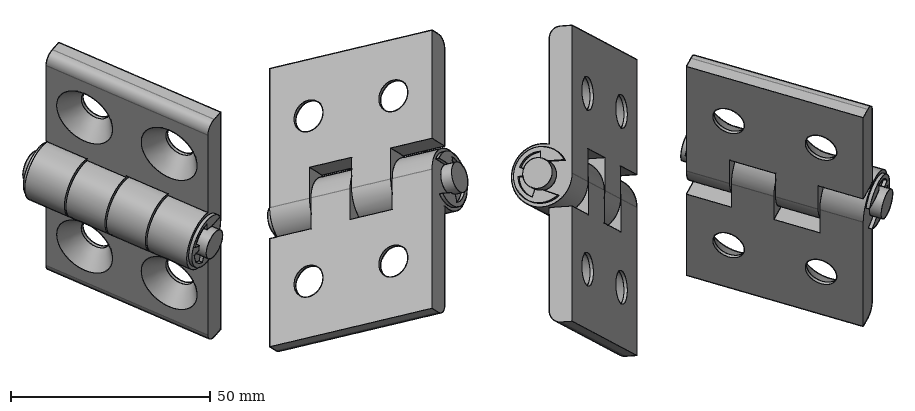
import cadquery as cq
import math

hinge_height = 75.75
leaf_width = 47.9
leaf_thickness = 6.1
edge_radius = 3.0
half_height = hinge_height / 2

knuckle_radius = 8.1
knuckle_count = 4
knuckle_pitch = leaf_width / knuckle_count
side_gap = 0.45
notch_reach = 8.4
back_y = knuckle_radius
front_y = back_y - leaf_thickness

hole_x = 12.5
hole_z = 22.5
hole_radius = 4.25
countersink_radius = 8.25
countersink_depth = 5.2

pin_radius = 3.95
pin_length = 54.2

clip_radius = 7.2
clip_thickness = 1.0
clip_slot_radius = 6.0
clip_turn = 10.8
tongue_half_angle = 11.5
pad_angle = 79.2
mouth_flare = 10.8
mouth_offset = 3.4


def x_cylinder(radius, length, start_x):
    """Cylinder about the pin axis, running in +X from start_x."""
    return cq.Workplane("YZ", origin=(start_x, 0, 0)).circle(radius).extrude(length)


def make_plate():
    """Upper plate beyond the knuckle notches, with its outer front edge rounded."""
    plate_height = half_height - notch_reach
    plate = cq.Workplane("XY").box(
        leaf_width, leaf_thickness, plate_height, centered=(True, False, False)
    ).translate((0, front_y, notch_reach))
    return plate.edges("|X").edges("<Y and >Z").fillet(edge_radius)


def make_knuckle(index):
    """One knuckle of the upper leaf with the web that joins it to the plate."""
    start_x = -leaf_width / 2 + index * knuckle_pitch
    end_x = start_x + knuckle_pitch
    if index > 0:
        start_x += side_gap / 2
    if index < knuckle_count - 1:
        end_x -= side_gap / 2
    length = end_x - start_x
    web = cq.Workplane("XY").box(
        length, leaf_thickness, notch_reach, centered=False
    ).translate((start_x, front_y, 0))
    return x_cylinder(knuckle_radius, length, start_x).union(web)


def make_screw_hole(x):
    """Through hole with a conical countersink opening on the front face."""
    profile = [
        (0, 0),
        (countersink_radius, 0),
        (hole_radius, countersink_depth),
        (hole_radius, leaf_thickness),
        (0, leaf_thickness),
    ]
    cutter = cq.Workplane("XY").polyline(profile).close().revolve(360, (0, 0), (0, 1))
    return cutter.translate((x, front_y, hole_z))


def make_upper_leaf():
    """Leaf above the pin, carrying every second knuckle."""
    leaf = make_plate()
    for index in range(1, knuckle_count, 2):
        leaf = leaf.union(make_knuckle(index))
    for x in (-hole_x, hole_x):
        leaf = leaf.cut(make_screw_hole(x))
    return leaf.cut(x_cylinder(pin_radius, leaf_width, -leaf_width / 2))


def make_lower_leaf():
    """Identical leaf turned half a turn about Y, so its knuckles interleave."""
    return make_upper_leaf().rotate((0, 0, 0), (0, 1, 0), 180)


def make_pin():
    return x_cylinder(pin_radius, pin_length, -pin_length / 2)


def polar(radius, angle):
    """Point in the clip plane; angle in degrees from the tongue direction."""
    return (radius * math.cos(math.radians(angle)), radius * math.sin(math.radians(angle)))


def clip_slot(side):
    """Ring sector between the tongue and one gripping pad; side is +1 or -1."""
    middle_angle = (tongue_half_angle + pad_angle) / 2
    return (
        cq.Workplane("XY")
        .moveTo(0, 0)
        .lineTo(*polar(clip_slot_radius, side * tongue_half_angle))
        .threePointArc(
            polar(clip_slot_radius, side * middle_angle),
            polar(clip_slot_radius, side * pad_angle),
        )
        .close()
        .extrude(clip_thickness)
    )


def clip_mouth():
    """Flared opening on the side opposite the tongue."""
    flare = math.radians(mouth_flare)
    inner_half = mouth_offset / math.cos(flare)
    outer_half = inner_half + clip_radius * math.tan(flare)
    outline = [
        (0, -inner_half),
        (0, inner_half),
        (-clip_radius, outer_half),
        (-clip_radius, -outer_half),
    ]
    return cq.Workplane("XY").polyline(outline).close().extrude(clip_thickness)


def make_clip(start_x):
    """E-clip around the pin with its tongue toward the front, just above level."""
    clip = cq.Workplane("XY").circle(clip_radius).circle(pin_radius).extrude(clip_thickness)
    clip = clip.cut(clip_mouth())
    for side in (-1, 1):
        clip = clip.cut(clip_slot(side))
    clip_plane = cq.Plane(origin=(start_x, 0, 0), xDir=(0, -1, 0), normal=(-1, 0, 0))
    turned = clip.val().rotate(cq.Vector(0, 0, 0), cq.Vector(0, 0, 1), clip_turn)
    return turned.moved(cq.Location(clip_plane))


upper_leaf = make_upper_leaf()
lower_leaf = make_lower_leaf()
pin = make_pin()
clip_starts = (-leaf_width / 2, leaf_width / 2 + clip_thickness)
clips = [make_clip(start_x) for start_x in clip_starts]
clip_solids = [solid for clip in clips for solid in clip.Solids()]

result = cq.Compound.makeCompound([upper_leaf.val(), lower_leaf.val(), pin.val(), *clip_solids])